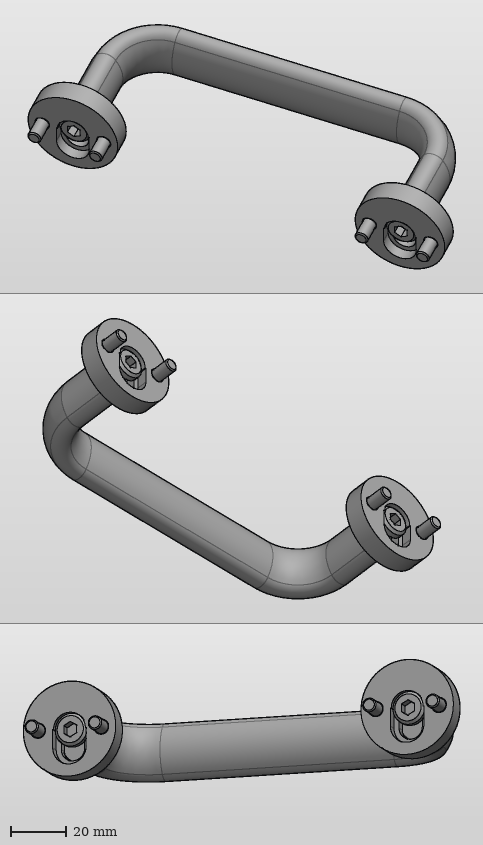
import cadquery as cq
import math


total_length = 163
flange_diameter = 35.0
flange_thickness = 8.2
leg_x = (total_length - flange_diameter) / 2

bar_thickness = 13
bar_width = 21.2
bar_edge_radius = 4.5
bend_radius = 20.0
grip_top_y = 58.0

pin_length = 7.8
pin_diameter = 5.0
pin_tip_diameter = 4.0
pin_hole_diameter = 5.5
pin_hole_depth = 0.5
pin_spacing = 24.0

recess_depth = 4.2
recess_width = 12.7
slot_width = 8.8
slot_travel = 6.7

head_diameter = 12.0
head_face_diameter = 10.0
head_face_y = 1.0
shank_diameter = 8.0
hex_across_flats = 4.9
hex_depth = 4.0


def cylinder(diameter, y_start, y_end, x=0):
    """Round bar along Y between two Y positions, with its axis at Z = 0."""
    plane = cq.Workplane("XZ", origin=(x, y_start, 0))
    return plane.circle(diameter / 2).extrude(y_start - y_end)


def downward_slot(width, y_start, y_end):
    """Cutter with straight sides from Z = 0 down to a round lower end."""
    half = width / 2
    plane = cq.Workplane("XZ", origin=(0, y_start, 0))
    outline = (
        plane.moveTo(-half, 0)
        .lineTo(-half, -slot_travel)
        .threePointArc((0, -slot_travel - half), (half, -slot_travel))
        .lineTo(half, 0)
        .close()
    )
    return outline.extrude(y_start - y_end)


def make_bar():
    """Sweep a four-arc oval along the U-shaped centreline."""
    half_x = bar_thickness / 2
    half_z = bar_width / 2
    edge_centre_z = half_z - bar_edge_radius

    side_radius = (half_x**2 + edge_centre_z**2 - bar_edge_radius**2) / (2 * (half_x - bar_edge_radius))
    side_centre_x = side_radius - half_x
    slope = math.atan2(edge_centre_z, side_centre_x)
    join_x = bar_edge_radius * math.cos(slope)
    join_z = edge_centre_z + bar_edge_radius * math.sin(slope)

    centre_y = grip_top_y - half_x
    bend_y = centre_y - bend_radius
    bend_x = leg_x - bend_radius
    mid_x = bend_x + bend_radius * math.sqrt(0.5)
    mid_y = bend_y + bend_radius * math.sqrt(0.5)
    path = (
        cq.Workplane("XY")
        .moveTo(-leg_x, flange_thickness)
        .lineTo(-leg_x, bend_y)
        .threePointArc((-mid_x, mid_y), (-bend_x, centre_y))
        .lineTo(bend_x, centre_y)
        .threePointArc((mid_x, mid_y), (leg_x, bend_y))
        .lineTo(leg_x, flange_thickness)
    )
    section = (
        cq.Workplane("XZ", origin=(-leg_x, flange_thickness, 0))
        .moveTo(join_x, -join_z)
        .threePointArc((half_x, 0), (join_x, join_z))
        .threePointArc((0, half_z), (-join_x, join_z))
        .threePointArc((-half_x, 0), (-join_x, -join_z))
        .threePointArc((0, -half_z), (join_x, -join_z))
        .close()
    )
    return section.sweep(path)


def make_pin(x):
    """Pin with a chamfered tip, standing on the floor of its clearance hole."""
    tip_chamfer = (pin_diameter - pin_tip_diameter) / 2
    return cylinder(pin_diameter, -pin_length, pin_hole_depth, x).faces("<Y").chamfer(tip_chamfer)


def make_screw():
    """Socket screw whose head sits on the recess floor and whose shank reaches the bar."""
    face_chamfer = (head_diameter - head_face_diameter) / 2
    head = cylinder(head_diameter, head_face_y, recess_depth).faces("<Y").chamfer(face_chamfer)
    shank = cylinder(shank_diameter, recess_depth, flange_thickness)
    hex_corner_diameter = hex_across_flats / math.cos(math.pi / 6)
    hex_plane = cq.Workplane("XZ", origin=(0, head_face_y, 0)).transformed(rotate=(0, 0, 90))
    socket = hex_plane.polygon(6, hex_corner_diameter).extrude(-hex_depth)
    return head.union(shank).cut(socket)


def make_flange():
    """Flange with keyhole, screw and two pins, centred on the screw axis."""
    flange = cylinder(flange_diameter, 0, flange_thickness)
    flange = flange.cut(cylinder(head_diameter, 0, recess_depth))
    flange = flange.cut(downward_slot(recess_width, 0, recess_depth))
    flange = flange.cut(cylinder(slot_width, recess_depth, flange_thickness))
    flange = flange.cut(downward_slot(slot_width, recess_depth, flange_thickness))
    flange = flange.union(make_screw())
    for x in (-pin_spacing / 2, pin_spacing / 2):
        flange = flange.cut(cylinder(pin_hole_diameter, 0, pin_hole_depth, x))
        flange = flange.union(make_pin(x))
    return flange


result = make_bar()
for x in (-leg_x, leg_x):
    result = result.union(make_flange().translate((x, 0, 0)))